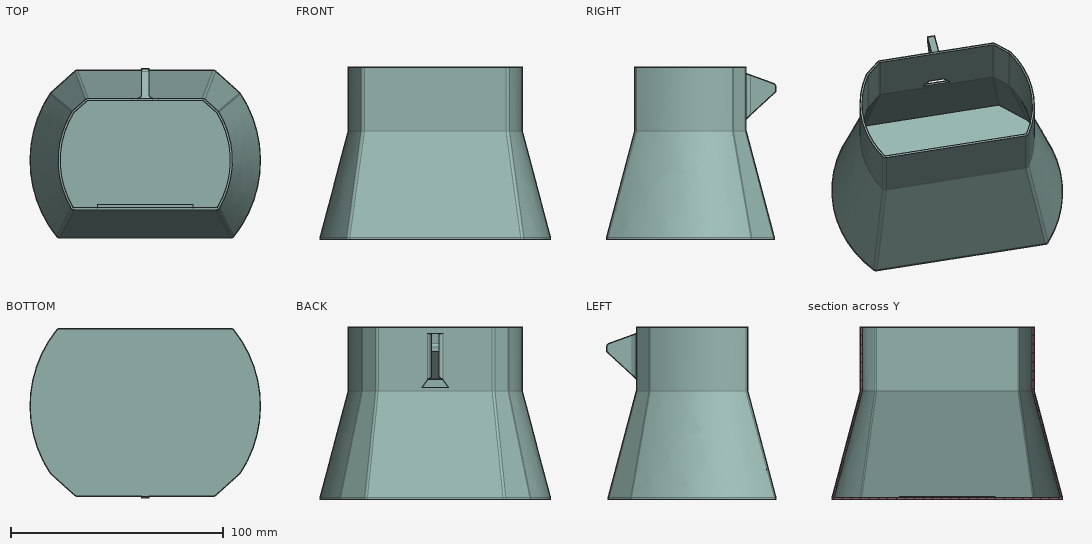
import cadquery as cq
import math


wall = 1.0
floor_thickness = 1.0
cone_height = 50.1
neck_height = 30.0
draft_angle = 14.8
base_half_width = 54.2
side_arc_shift = 3.0
neck_front = 23.2
neck_back = 29.3
back_half_flat = 27.5
bevel_angle = 42.0
corner_radius = 2.0

hook_thickness = 3.4
hook_length = 14.0
hook_root_bottom = 56.7
hook_root_top = 78.0
hook_tip_bottom = 69.6
hook_top_slope = 20.0
hook_tip_radius = 2.0
hook_root_radius = 2.0

window_width = 12.5
window_top_width = 6.9
window_height = 3.8
window_gap = 1.6

pad_width = 44.9
pad_back = -20.6
pad_height = 0.5

cone_top = floor_thickness + cone_height
total_height = cone_top + neck_height
flare = cone_height * math.tan(math.radians(draft_angle))
neck_half_width = base_half_width - flare


def outline(offset, z, radius):
    """Closed section wire, grown from the neck's outer section by `offset`."""
    arc_radius = neck_half_width + side_arc_shift + offset
    front = -(neck_front + offset)
    back = neck_back + offset
    half_side = neck_half_width + offset

    front_x = math.sqrt(arc_radius**2 - front**2) - side_arc_shift

    bevel = math.radians(bevel_angle)
    back_x = back_half_flat + offset * math.tan(bevel / 2)
    bevel_distance = (back_x + side_arc_shift) * math.sin(bevel) + back * math.cos(bevel)
    polar = math.pi / 2 - bevel - math.acos(bevel_distance / arc_radius)
    bevel_x = arc_radius * math.cos(polar) - side_arc_shift
    bevel_y = arc_radius * math.sin(polar)

    wire = (
        cq.Workplane("XY", origin=(0, 0, z))
        .moveTo(-front_x, front)
        .lineTo(front_x, front)
        .threePointArc((half_side, 0), (bevel_x, bevel_y))
        .lineTo(back_x, back)
        .lineTo(-back_x, back)
        .lineTo(-bevel_x, bevel_y)
        .threePointArc((-half_side, 0), (-front_x, front))
        .close()
        .val()
    )
    return wire.fillet2D(radius, wire.Vertices())


def prism(offset, radius, bottom, top):
    """Straight stretch of the section between two levels."""
    section = cq.Face.makeFromWires(outline(offset, bottom, radius))
    return cq.Workplane(cq.Solid.extrudeLinear(section, cq.Vector(0, 0, top - bottom)))


def flared(offset, radius):
    """Tapering stretch between the floor and the neck."""
    lower = outline(offset + flare, floor_thickness, radius)
    upper = outline(offset, cone_top, radius)
    return cq.Workplane(cq.Solid.makeLoft([lower, upper], True))


def shell():
    """Outer body with the inside hollowed out down to the floor."""
    inner_radius = corner_radius - wall
    body = prism(flare, corner_radius, 0, floor_thickness)
    body = body.union(flared(0, corner_radius))
    body = body.union(prism(0, corner_radius, cone_top, total_height))
    body = body.cut(flared(-wall, inner_radius))
    return body.cut(prism(-wall, inner_radius, cone_top, total_height))


def hook():
    """Triangular fin on the +Y wall with a rounded tip and a flared root."""
    embed = wall / 2
    root = neck_back - embed
    tip = neck_back + hook_length
    top_drop = math.tan(math.radians(hook_top_slope))
    bottom_rise = (hook_tip_bottom - hook_root_bottom) / hook_length
    tip_top = hook_root_top - top_drop * hook_length
    half = hook_thickness / 2
    half_root = half + hook_root_radius

    side = (
        cq.Workplane("YZ")
        .polyline([
            (root, hook_root_bottom - bottom_rise * embed),
            (tip, hook_tip_bottom),
            (tip, tip_top),
            (root, hook_root_top + top_drop * embed),
        ])
        .close()
    )
    fin = (
        side.extrude(half_root, both=True)
        .edges(cq.selectors.NearestToPointSelector((0, tip, tip_top)))
        .fillet(hook_tip_radius)
    )

    flare_y = neck_back + hook_root_radius
    bow = hook_root_radius * (1 - math.sqrt(0.5))
    plan = (
        cq.Workplane("XY", origin=(0, 0, hook_root_bottom - wall))
        .moveTo(-half_root, root)
        .lineTo(half_root, root)
        .lineTo(half_root, neck_back)
        .threePointArc((half + bow, neck_back + bow), (half, flare_y))
        .lineTo(half, tip)
        .lineTo(-half, tip)
        .lineTo(-half, flare_y)
        .threePointArc((-half - bow, neck_back + bow), (-half_root, neck_back))
        .close()
        .extrude(hook_root_top - hook_root_bottom + 2 * wall)
    )
    return fin.intersect(plan)


def window():
    """Trapezoidal opening through the +Y wall."""
    bottom = cone_top + window_gap
    top = bottom + window_height
    half = window_width / 2
    half_top = window_top_width / 2
    return (
        cq.Workplane("XZ", origin=(0, neck_back + wall, 0))
        .polyline([
            (-half, bottom),
            (half, bottom),
            (half_top, top),
            (-half_top, top),
        ])
        .close()
        .extrude(3 * wall)
    )


def pad():
    """Low rectangular step on the floor, running into the flared -Y wall."""
    front = -(neck_front + flare - wall / 2)
    return cq.Workplane("XY").box(
        pad_width,
        pad_back - front,
        pad_height + floor_thickness / 2,
        centered=(True, False, False),
    ).translate((0, front, floor_thickness / 2))


result = shell().union(hook()).cut(window()).union(pad())